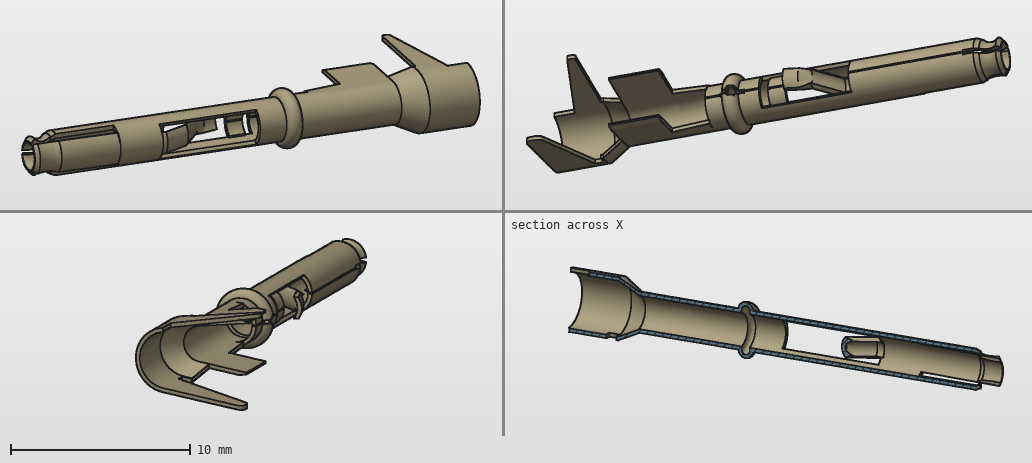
import cadquery as cq
import math


LENGTH = 27.0
SHEET = 0.25
BARREL_R = 1.27
BORE_R = BARREL_R - SHEET
BARREL_END_Y = 17.4
SEAM_GAP = 0.08

SHOULDER_Y = 1.48
CONE_END_Y = 1.2
NECK_Y = 0.65
FLARE_Y = 0.22
CONE_DROP = 0.14
NECK_R = 0.92
FLARE_R = 1.1
LIP_R = 0.86
LIP_WIDTH = 0.08
TIP_SLIT_LENGTH = 2.1
TIP_SLIT_WIDTH = 0.27

FINGER_ROOT_Y = 5.08
FINGER_TILT = 1.9
FINGER_NECK_R = 1.1
FINGER_FLARE_R = 1.2
FINGER_OVERLAP = 0.03
MAIN_TINE_EDGE_X = 0.38
MAIN_NOSE_EDGE_X = 0.3
FINGER_INNER = (0.62, 0.8)
FINGER_OUTER = (0.86, 0.92)

BEAD_Y = 15.9
BEAD_RING_R = 1.22
BEAD_TUBE_R = 0.49
BEAD_NOTCH_START_Y = 15.07
BEAD_NOTCH_END_Y = 16.47
BEAD_NOTCH_HALF = 0.1
BEAD_NOTCH_MID_HALF = 0.3
BEAD_NOTCH_MID_LENGTH = 0.32
BEAD_NOTCH_TAPER = 0.2

WINDOW_HALF_ANGLE = 53.0
LEFT_WINDOW_Y = (8.88, 14.2)
RIGHT_WINDOW_Y = (7.75, 13.77)
STRAP_Y = (12.72, 13.72)
STRAP_R = 1.1
STRAP_HALF_ANGLE = 57.0

TONGUE_HALF = 0.62
TONGUE_INNER_HALF = 0.43
TONGUE_TIP_Y = 12.5
TONGUE_ROOT_OVERLAP = 0.15

WING_ANGLE = 7.8
CHANNEL_EDGE_X = -0.5
CHANNEL_ROOT_ANGLE = -5.0
CRIMP_START_Y = 19.6
CRIMP_END_Y = 22.57
CRIMP_TIP_X = -2.73
CRIMP_BEVEL_LENGTH = 0.43
CRIMP_BEVEL_DEPTH = 0.14

RELIEF_R = 1.85
RELIEF_CENTER_X = 0.3
RELIEF_TIP_X = -4.25
COLLAR_Y = 23.9
RELIEF_START_Y = 24.03
COLLAR_EDGE_X = 0.0
UPPER_WING_END_Y = 25.78
UPPER_TIP_WIDTH = 0.45
UPPER_TIP_ROUND = 0.15
LOWER_WING_START_Y = 24.57
LOWER_TIP_WIDTH = 0.9
LOWER_TIP_ROUND = 0.38

REACH = 3.25


def box(x_range, y_range, z_range):
    sizes = [high - low for low, high in (x_range, y_range, z_range)]
    corner = (x_range[0], y_range[0], z_range[0])
    return cq.Workplane("XY").box(*sizes, centered=False).translate(corner)


def tube(outer_r, inner_r, y_range):
    length = y_range[1] - y_range[0]
    ring = cq.Workplane("XZ").circle(outer_r).circle(inner_r).extrude(-length)
    return ring.translate((0, y_range[0], 0))


def prism_along_y(points, y_range):
    """Extrude an (x, z) polygon between two Y positions."""
    prism = cq.Workplane("XZ").polyline(points).close().extrude(-(y_range[1] - y_range[0]))
    return prism.translate((0, y_range[0], 0))


def tipped_tube(neck_r, flare_r, end_y):
    """Barrel with a nose cone, a waisted neck and a flared lip at Y = 0."""
    lip_r = LIP_R + flare_r - FLARE_R
    cone_r = BARREL_R - CONE_DROP
    profile = (
        cq.Workplane("XY")
        .moveTo(BORE_R, end_y)
        .lineTo(BARREL_R, end_y)
        .lineTo(BARREL_R, SHOULDER_Y)
        .lineTo(cone_r, CONE_END_Y)
        .threePointArc((neck_r, NECK_Y), (flare_r, FLARE_Y))
        .lineTo(lip_r, 0)
        .lineTo(lip_r - LIP_WIDTH, 0)
        .threePointArc((neck_r - SHEET, NECK_Y), (cone_r - SHEET, CONE_END_Y))
        .lineTo(BORE_R, SHOULDER_Y)
        .close()
    )
    return profile.revolve(360, (0, 0, 0), (0, 1, 0))


def barrel():
    body = tipped_tube(NECK_R, FLARE_R, BARREL_END_Y)
    body = body.cut(box((MAIN_TINE_EDGE_X, REACH), (0, FINGER_ROOT_Y), (-REACH, REACH)))
    body = body.cut(box((MAIN_NOSE_EDGE_X, REACH), (0, CONE_END_Y), (-REACH, REACH)))
    slit_half = TIP_SLIT_WIDTH / 2
    return body.cut(box((-REACH, 0), (0, TIP_SLIT_LENGTH), (-slit_half, slit_half)))


def spring_finger():
    inner_x, inner_z = FINGER_INNER
    outer_x, outer_z = FINGER_OUTER
    slope = (outer_z - inner_z) / (outer_x - inner_x)
    far_z = inner_z + slope * (REACH - inner_x)
    wedge = [(inner_x, -inner_z), (REACH, -far_z), (REACH, far_z), (inner_x, inner_z)]
    end_y = FINGER_ROOT_Y + FINGER_OVERLAP
    finger = tipped_tube(FINGER_NECK_R, FINGER_FLARE_R, end_y).intersect(prism_along_y(wedge, (0, end_y)))
    pivot_x = BARREL_R - SHEET / 2
    return finger.rotate((pivot_x, FINGER_ROOT_Y, 0), (pivot_x, FINGER_ROOT_Y, 1), -FINGER_TILT)


def bead_ring(tube_r, inner_r):
    """Ring with a round outer face and straight flanks down to inner_r."""
    profile = (
        cq.Workplane("XY")
        .moveTo(inner_r, BEAD_Y - tube_r)
        .lineTo(BEAD_RING_R, BEAD_Y - tube_r)
        .threePointArc((BEAD_RING_R + tube_r, BEAD_Y), (BEAD_RING_R, BEAD_Y + tube_r))
        .lineTo(inner_r, BEAD_Y + tube_r)
        .close()
    )
    return profile.revolve(360, (0, 0, 0), (0, 1, 0))


def add_bead(body):
    """Hollow bead rolled outward from the barrel wall."""
    hollow_inner_r = BORE_R - SHEET
    return body.union(bead_ring(BEAD_TUBE_R, BORE_R)).cut(bead_ring(BEAD_TUBE_R - SHEET, hollow_inner_r))


def seam():
    """Rolled-edge gap along -X, widened to a lozenge where it crosses the bead."""
    gap = box((-REACH, 0), (0, BARREL_END_Y), (-SEAM_GAP / 2, SEAM_GAP / 2))
    mid_front_y = BEAD_Y - BEAD_NOTCH_MID_LENGTH
    half_outline = [
        (BEAD_NOTCH_START_Y, BEAD_NOTCH_HALF),
        (mid_front_y - BEAD_NOTCH_TAPER, BEAD_NOTCH_HALF),
        (mid_front_y, BEAD_NOTCH_MID_HALF),
        (BEAD_Y, BEAD_NOTCH_MID_HALF),
        (BEAD_Y + BEAD_NOTCH_TAPER, BEAD_NOTCH_HALF),
        (BEAD_NOTCH_END_Y, BEAD_NOTCH_HALF),
    ]
    outline = half_outline + [(y, -z) for y, z in reversed(half_outline)]
    notch = cq.Workplane("YZ").polyline(outline).close().extrude(-REACH)
    return gap.union(notch)


def sector(half_angle, y_range, side):
    """Wedge from the barrel axis toward +X (side = 1) or -X (side = -1)."""
    rise = REACH * math.tan(math.radians(half_angle))
    return prism_along_y([(0, 0), (side * REACH, -rise), (side * REACH, rise)], y_range)


def cut_windows(body):
    """Open both side windows, then bridge the -X one with a strap pressed inward."""
    body = body.cut(sector(WINDOW_HALF_ANGLE, LEFT_WINDOW_Y, -1))
    body = body.cut(sector(WINDOW_HALF_ANGLE, RIGHT_WINDOW_Y, 1))
    strap = tube(STRAP_R, STRAP_R - SHEET, STRAP_Y)
    return body.union(strap.intersect(sector(STRAP_HALF_ANGLE, STRAP_Y, -1)))


def tongue_section(y, back_x, thickness, bow, front_half):
    """Curved strip across the tongue; bow > 0 bulges toward +X, bow < 0 toward -X."""
    edge_back_x = back_x - bow
    front_x = back_x - thickness
    edge_front_x = front_x - bow
    section = (
        cq.Workplane("XZ", origin=(0, y, 0))
        .moveTo(edge_back_x, -TONGUE_HALF)
        .threePointArc((back_x, 0), (edge_back_x, TONGUE_HALF))
        .lineTo(edge_front_x, front_half)
        .threePointArc((front_x, 0), (edge_front_x, -front_half))
        .close()
    )
    return section.wires().val()


def tongue():
    """Trough at the root that crosses the bore diagonally and ends in a domed tip."""
    root_y = RIGHT_WINDOW_Y[0]
    trough = TONGUE_INNER_HALF
    sections = [
        tongue_section(root_y - TONGUE_ROOT_OVERLAP, BARREL_R, SHEET, 0.2, trough),
        tongue_section(root_y + 0.27, BARREL_R, SHEET, 0.2, trough),
        tongue_section(9.6, 0.65, 0.3, 0.3, trough),
        tongue_section(11.0, -0.95, 0.35, 0.3, trough),
        tongue_section(11.66, -1.57, 0.3, -0.22, TONGUE_HALF),
        tongue_section(TONGUE_TIP_Y, -1.8, 0.27, -0.22, TONGUE_HALF),
    ]
    return cq.Workplane(cq.Solid.makeLoft(sections, True))


def wing_surface_z(x, radius, center_x, angle):
    """Height of the flat outer face that leaves the trough tangentially."""
    lean = math.radians(angle)
    return (radius - (x - center_x) * math.sin(lean)) / math.cos(lean)


def trough_wire(y, radius, center_x, edge_x, angle=WING_ANGLE):
    """U-shaped sheet section open toward -X, with straight legs leaning outward."""
    lean = math.radians(angle)
    inner_radius = radius - SHEET

    def tangent_point(r):
        return (center_x + r * math.sin(lean), r * math.cos(lean))

    def mirrored(point):
        return (point[0], -point[1])

    outer_tip = (edge_x, wing_surface_z(edge_x, radius, center_x, angle))
    inner_tip = (edge_x, wing_surface_z(edge_x, inner_radius, center_x, angle))
    section = (
        cq.Workplane("XZ", origin=(0, y, 0))
        .moveTo(*outer_tip)
        .lineTo(*tangent_point(radius))
        .threePointArc((center_x + radius, 0), mirrored(tangent_point(radius)))
        .lineTo(*mirrored(outer_tip))
        .lineTo(*mirrored(inner_tip))
        .lineTo(*mirrored(tangent_point(inner_radius)))
        .threePointArc((center_x + inner_radius, 0), tangent_point(inner_radius))
        .lineTo(*inner_tip)
        .close()
    )
    return section.wires().val()


def trough_between(front_wire, rear_wire):
    return cq.Workplane(cq.Solid.makeLoft([front_wire, rear_wire], True))


def channel():
    """Legs lean slightly inward at the barrel and open out to the crimp."""
    return trough_between(
        trough_wire(BARREL_END_Y, BARREL_R, 0, CHANNEL_EDGE_X, CHANNEL_ROOT_ANGLE),
        trough_wire(CRIMP_START_Y, BARREL_R, 0, CHANNEL_EDGE_X),
    )


def conductor_crimp():
    crimp = trough_between(
        trough_wire(CRIMP_START_Y, BARREL_R, 0, CRIMP_TIP_X),
        trough_wire(CRIMP_END_Y, BARREL_R, 0, CRIMP_TIP_X),
    )
    bevel_x = CRIMP_TIP_X + CRIMP_BEVEL_LENGTH
    bevel_z = wing_surface_z(bevel_x, BARREL_R, 0, WING_ANGLE)
    tip_z = wing_surface_z(CRIMP_TIP_X, BARREL_R, 0, WING_ANGLE)
    for side in (1, -1):
        wedge = [
            (bevel_x, side * bevel_z),
            (CRIMP_TIP_X, side * (tip_z - CRIMP_BEVEL_DEPTH)),
            (CRIMP_TIP_X, side * REACH),
            (bevel_x, side * REACH),
        ]
        crimp = crimp.cut(prism_along_y(wedge, (CRIMP_START_Y, CRIMP_END_Y)))
    return crimp


def transition():
    """Flare from the conductor crimp out to the wider strain-relief crimp."""
    return trough_between(
        trough_wire(CRIMP_END_Y, BARREL_R, 0, CHANNEL_EDGE_X),
        trough_wire(COLLAR_Y, RELIEF_R, RELIEF_CENTER_X, COLLAR_EDGE_X),
    )


def collar():
    return trough_between(
        trough_wire(COLLAR_Y, RELIEF_R, RELIEF_CENTER_X, COLLAR_EDGE_X),
        trough_wire(RELIEF_START_Y, RELIEF_R, RELIEF_CENTER_X, COLLAR_EDGE_X),
    )


def wing_outline(straight_y, base_y, tip_width, tip_round, side):
    """Tapered wing in plan on one side of Z = 0, plus the barrel half it grows from.

    straight_y is the square edge, base_y the tapered edge where the wing meets the barrel.
    """
    inward = math.copysign(1, base_y - straight_y)
    other_end_y = RELIEF_START_Y + LENGTH - straight_y
    base_x = RELIEF_CENTER_X + RELIEF_R * math.sin(math.radians(WING_ANGLE))
    plan = [
        (REACH, straight_y),
        (RELIEF_TIP_X, straight_y),
        (RELIEF_TIP_X, straight_y + inward * tip_width),
        (base_x, base_y),
        (base_x, other_end_y),
        (REACH, other_end_y),
    ]
    prism = cq.Workplane("XY").polyline(plan).close().extrude(side * REACH)
    tip_edges = cq.selectors.BoxSelector(
        (RELIEF_TIP_X - 0.03, RELIEF_START_Y - 0.03, -REACH), (RELIEF_TIP_X + 0.03, LENGTH + 0.03, REACH)
    )
    return prism.edges("|Z").edges(tip_edges).fillet(tip_round)


def relief_crimp():
    """Two offset wings: the upper one at the front, the lower one at the rear."""
    blank = trough_between(
        trough_wire(RELIEF_START_Y, RELIEF_R, RELIEF_CENTER_X, RELIEF_TIP_X),
        trough_wire(LENGTH, RELIEF_R, RELIEF_CENTER_X, RELIEF_TIP_X),
    )
    upper = wing_outline(RELIEF_START_Y, UPPER_WING_END_Y, UPPER_TIP_WIDTH, UPPER_TIP_ROUND, 1)
    lower = wing_outline(LENGTH, LOWER_WING_START_Y, LOWER_TIP_WIDTH, LOWER_TIP_ROUND, -1)
    return blank.intersect(upper.union(lower))


result = cut_windows(add_bead(barrel()))
result = result.cut(seam())
for piece in (
    spring_finger(),
    tongue(),
    channel(),
    conductor_crimp(),
    transition(),
    collar(),
    relief_crimp(),
):
    result = result.union(piece)